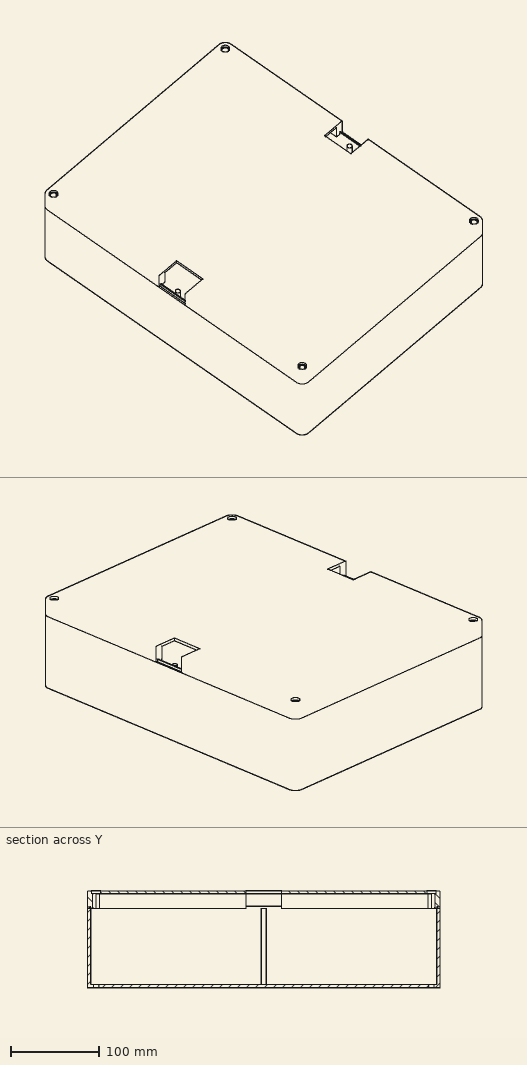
import cadquery as cq
import math

length = 400.0
width = 310.0
total_height = 110.0
base_height = 90.0
corner_radius = 10.0
inner_corner_radius = 1.0
lid_height = total_height - base_height

base_wall = 4.0
floor_thickness = 4.0

lip_inset = 2.0
lip_slope_run = 0.7
lip_height = 2.5
lip_top = base_height + lip_height
lip_slope_angle = math.degrees(math.atan2(lip_slope_run, lip_height))

lid_wall = 10.0
lid_plate = 3.5
lid_edge_radius = 1.5

notch_length = 40.0
notch_depth = 30.0

hole_inset = 10.0
post_diameter = 6.0
post_bore = 5.5
post_top = base_height

base_hole_diameter = 5.5
lid_hole_diameter = 7.5
screw_head_diameter = 10.0
screw_head_depth = 3.0

hole_x = length / 2 - hole_inset
hole_y = width / 2 - hole_inset
corner_points = [(sx * hole_x, sy * hole_y) for sx in (-1, 1) for sy in (-1, 1)]
post_points = [(0, sy * hole_y) for sy in (-1, 1)]


def rounded_block(inset, bottom, top):
    """Block with rounded upright edges, its outline set in from the enclosure outline."""
    block = cq.Workplane("XY", origin=(0, 0, bottom)).box(
        length - 2 * inset, width - 2 * inset, top - bottom, centered=(True, True, False)
    )
    return block.edges("|Z").fillet(max(corner_radius - inset, inner_corner_radius))


def cylinders(points, diameter, bottom, top):
    """Upright cylinders of one diameter at the given places."""
    plane = cq.Workplane("XY", origin=(0, 0, bottom))
    return plane.pushPoints(points).circle(diameter / 2).extrude(top - bottom)


def base_shell():
    """Base tray with the sealing lip standing on its rim."""
    lip_foot = rounded_block(lip_inset, 0, base_height).faces(">Z").wires()
    lip = lip_foot.toPending().workplane().extrude(lip_height, combine=False, taper=lip_slope_angle)
    tray = rounded_block(0, 0, base_height).union(lip)
    return tray.cut(rounded_block(base_wall, floor_thickness, lip_top))


def make_base():
    base = base_shell()
    base = base.union(cylinders(post_points, post_diameter, floor_thickness, post_top))
    base = base.cut(cylinders(post_points, post_bore, floor_thickness, post_top))
    return base.cut(cylinders(corner_points, base_hole_diameter, 0, floor_thickness))


def notch(side):
    """Cutter that opens the lid's plate and wall in the middle of one long edge."""
    notch_y = side * (width - notch_depth) / 2
    return cq.Workplane("XY", origin=(0, notch_y, base_height)).box(
        notch_length, notch_depth, lid_height, centered=(True, True, False)
    )


def make_lid():
    lid = rounded_block(0, base_height, total_height).faces(">Z").edges().fillet(lid_edge_radius)
    lid = lid.cut(rounded_block(lid_wall, base_height, total_height - lid_plate))
    lid = lid.cut(base_shell())
    for side in (-1, 1):
        lid = lid.cut(notch(side))
    lid = lid.cut(cylinders(corner_points, lid_hole_diameter, base_height, total_height))
    return lid.cut(cylinders(corner_points, screw_head_diameter, total_height - screw_head_depth, total_height))


base = make_base()
lid = make_lid()
result = cq.Compound.makeCompound([base.val(), lid.val()])